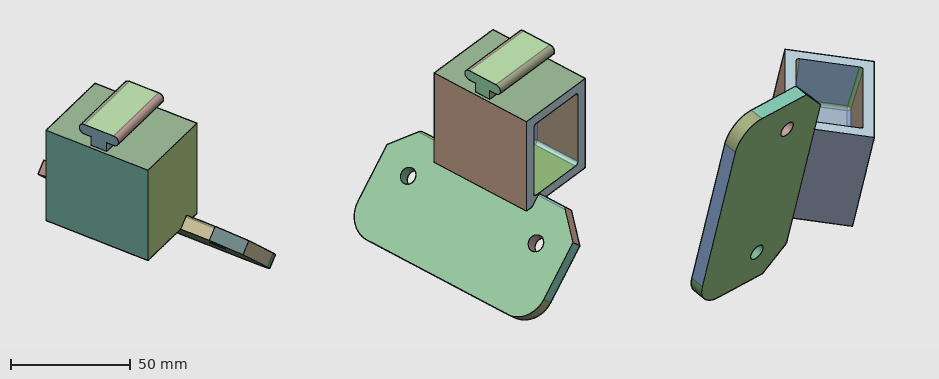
import cadquery as cq
import math

block_width = 50.5
block_depth = 38.0
block_height = 47.8
block_center_x = -0.1

pocket_wall = 4.8
pocket_depth = 22.6
pocket_inset = 1.3
pocket_radius = 1.5

rail_length = 35.0
rail_neck_width = 7.7
rail_neck_height = 4.6
rail_head_width = 19.4
rail_head_thickness = 5.0

plate_width = 101.6
plate_length = 50.8
plate_thickness = 6.4
plate_angle = 45.0
plate_edge_y = 25.4
plate_bevel = 11.5
plate_corner_radius = 12.7
plate_edge_radius = 0.8
hole_diameter = 7.2
hole_spacing = 69.8
hole_setback = 19.0

block_left_x = block_center_x - block_width / 2
block_center_y = block_depth / 2


def make_block():
    return (
        cq.Workplane("XY")
        .center(block_center_x, block_center_y)
        .box(block_width, block_depth, block_height, centered=(True, True, False))
    )


def make_pocket():
    """Tapered cutter running from the -X face toward +X, with rounded edges."""
    mouth = cq.Workplane(
        cq.Plane(
            origin=(block_left_x, block_center_y, block_height / 2),
            xDir=(0, 1, 0),
            normal=(1, 0, 0),
        )
    )
    mouth_width = block_depth - 2 * pocket_wall
    mouth_height = block_height - 2 * pocket_wall
    taper = math.degrees(math.atan2(pocket_inset, pocket_depth))
    cutter = mouth.rect(mouth_width, mouth_height).extrude(pocket_depth, taper=taper)
    return cutter.edges("not <X").fillet(pocket_radius)


def make_rail():
    neck = (
        cq.Workplane("XY", origin=(block_center_x, block_center_y, block_height))
        .box(rail_neck_width, rail_length, rail_neck_height, centered=(True, True, False))
    )
    head_center_z = block_height + rail_neck_height + rail_head_thickness / 2
    head = (
        cq.Workplane("XZ", origin=(block_center_x, block_center_y, head_center_z))
        .slot2D(rail_head_width, rail_head_thickness)
        .extrude(rail_length / 2, both=True)
    )
    return neck.union(head)


def make_plate():
    """Plate drawn flat, running back along +Y from the X axis, then tilted down."""
    plate = (
        cq.Workplane("XY")
        .box(plate_width, plate_length, plate_thickness, centered=(True, False, False))
    )
    plate = plate.edges("|Z and <Y").chamfer(plate_bevel)
    plate = plate.edges("|Z and >Y").fillet(plate_corner_radius)
    plate = plate.edges(">Z and <Y").fillet(plate_edge_radius)
    holes = (
        cq.Workplane("XY")
        .center(block_center_x, hole_setback)
        .rarray(hole_spacing, 1, 2, 1)
        .circle(hole_diameter / 2)
        .extrude(plate_thickness)
    )
    plate = plate.cut(holes)
    tilted = plate.rotate((0, 0, 0), (1, 0, 0), -plate_angle)
    return tilted.translate((0, plate_edge_y, 0))


result = make_block().union(make_rail()).union(make_plate()).cut(make_pocket())